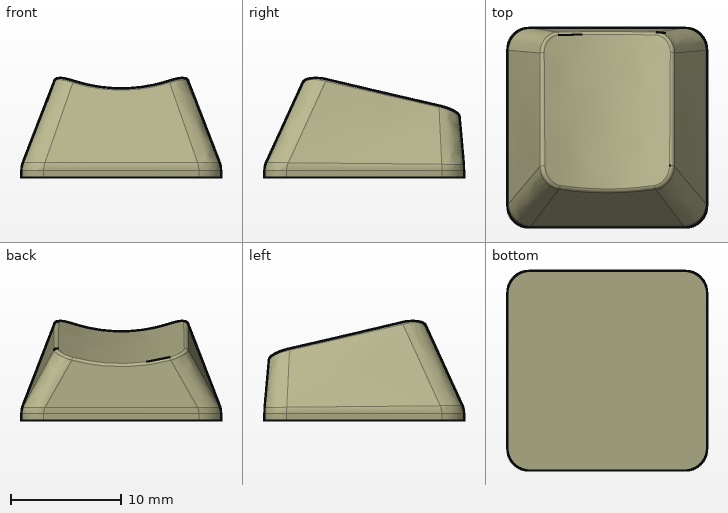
import cadquery as cq
import math

base_size = 18.16
base_corner = 2.03
skirt_height = 0.65

bend_height = 1.0
shoulder_share = 0.04
shoulder_steps = 4

rim_half_width = 5.95
rim_front = -5.18
rim_back = 8.6
rim_corner = 1.89
rim_height = 8.32
rim_slope = 0.24
rim_fillet = 0.33

dish_front_radius = 11.99
dish_back_radius = 18.89
dish_overrun = 3.63

half_size = base_size / 2
skirt_outline = (half_size, -half_size, half_size, base_corner, skirt_height, 0)
bend_outline = (half_size, -half_size, half_size, base_corner, bend_height, 0)
rim_outline = (rim_half_width, rim_front, rim_back, rim_corner, rim_height, rim_slope)


def tilted_plane(height, slope):
    """Plane through (0, 0, height) that falls towards +Y."""
    tilt = math.atan(slope)
    return cq.Plane((0, 0, height), (1, 0, 0), (0, math.sin(tilt), math.cos(tilt)))


def outline_wire(outline):
    """Rounded rectangle in its tilted plane, with front and back measured along Y."""
    half_width, front, back, corner, height, slope = outline
    stretch = math.hypot(1, slope)
    rectangle = cq.Sketch().rect(2 * half_width, (back - front) * stretch)
    rounded = rectangle.vertices().fillet(corner).reset()
    centre = cq.Location(cq.Vector(0, (front + back) / 2 * stretch, 0))
    return rounded.faces().val().outerWire().moved(tilted_plane(height, slope).location * centre)


def blend(start, end, share):
    """Outline that lies the given share of the way from start to end."""
    return tuple(a + (b - a) * share for a, b in zip(start, end))


def make_body():
    """Skirt, rounded shoulder and straight walls up to the tilted rim."""
    skirt = (
        cq.Workplane("XY")
        .rect(base_size, base_size)
        .extrude(skirt_height)
        .edges("|Z")
        .fillet(base_corner)
    )

    wall_foot = blend(bend_outline, rim_outline, shoulder_share)
    sections = []
    for step in range(shoulder_steps + 1):
        share = step / shoulder_steps
        lower = blend(skirt_outline, bend_outline, share)
        upper = blend(bend_outline, wall_foot, share)
        sections.append(outline_wire(blend(lower, upper, share)))
    shoulder = cq.Solid.makeLoft(sections)

    walls = cq.Solid.makeLoft([outline_wire(wall_foot), outline_wire(rim_outline)], True)
    return skirt.union(cq.Workplane(shoulder)).union(cq.Workplane(walls))


def dish_circle(radius, y):
    """Upright circle through the two side edges of the rim at distance y along its tilt."""
    rim_plane = tilted_plane(rim_height, rim_slope)
    centre_height = math.sqrt(radius**2 - rim_half_width**2)
    centre = rim_plane.toWorldCoords((0, y, centre_height))
    return cq.Wire.makeCircle(radius, centre, rim_plane.yDir)


def make_dish():
    """Cutter that meets the rim plane along its two straight sides."""
    front_circle = dish_circle(dish_front_radius, rim_front - dish_overrun)
    back_circle = dish_circle(dish_back_radius, rim_back + dish_overrun)
    return cq.Workplane(cq.Solid.makeLoft([front_circle, back_circle], True))


dished = make_body().cut(make_dish())

dish_face = dished.faces(">Z")
result = dish_face.edges().fillet(rim_fillet)